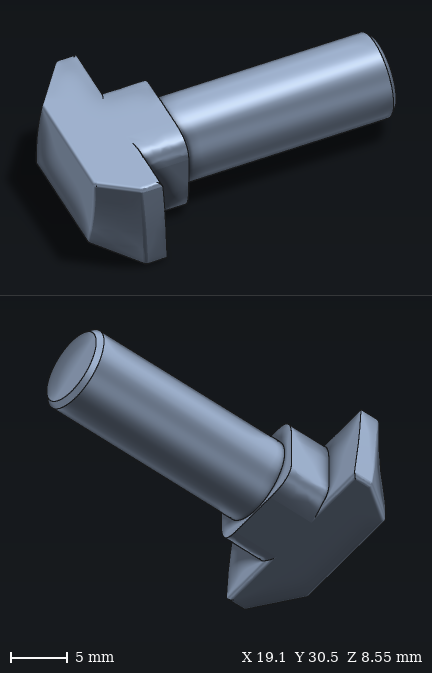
import cadquery as cq

total_length = 30.45
height = 8.55

shank_diameter = 8.0
shank_chamfer = 0.5

neck_width = 10.0
neck_corner_short = 2.0
neck_corner_long = 3.0
neck_end = 9.7
neck_overlap = 2.45

head_depth = 5.55
shoulder_depth = 3.5
edge_radius = 0.45
wide_half, middle_half, narrow_half = 9.55, 9.23, 8.55
front_narrow, front_middle, front_wide = 4.75, 5.85, 6.15


def head_section(z, left_half, left_front, right_half, right_front):
    """Closed six-sided outline of the head at height z."""
    points = [
        (-left_half, head_depth),
        (-left_half, shoulder_depth),
        (-left_front, 0),
        (right_front, 0),
        (right_half, shoulder_depth),
        (right_half, head_depth),
    ]
    return cq.Wire.makePolygon([cq.Vector(x, y, z) for x, y in points], close=True)


def make_head():
    """Loft through three outlines, then round the rims and the front corners."""
    sections = [
        head_section(-height / 2, narrow_half, front_wide, wide_half, front_narrow),
        head_section(0, middle_half, front_middle, middle_half, front_middle),
        head_section(height / 2, wide_half, front_narrow, narrow_half, front_wide),
    ]
    head = cq.Workplane(obj=cq.Solid.makeLoft(sections))
    front_half = cq.selectors.BoxSelector(
        (-wide_half, -0.3, -0.3), (wide_half, (shoulder_depth + head_depth) / 2, 0.3)
    )
    front_corners = head.edges(front_half)
    return front_corners.add(head.faces("<Z or >Z").edges()).fillet(edge_radius)


def make_neck():
    """Bar with uneven rounded corners running from inside the head to the shank."""
    start = head_depth - neck_overlap
    side = neck_width / 2
    top = height / 2
    side_upper = top - neck_corner_long
    side_lower = top - neck_corner_short
    top_outer = side - neck_corner_short
    top_inner = side - neck_corner_long
    outline = cq.Workplane("XZ", origin=(0, start, 0)).moveTo(-side, side_upper)
    for sign in (1, -1):
        outline = (
            outline.spline(
                [(-sign * top_outer, sign * top)],
                tangents=[(0, sign), (sign, 0)],
                includeCurrent=True,
            )
            .lineTo(sign * top_inner, sign * top)
            .spline(
                [(sign * side, sign * side_lower)],
                tangents=[(sign, 0), (0, -sign)],
                includeCurrent=True,
            )
            .lineTo(sign * side, -sign * side_upper)
        )
    return outline.close().extrude(start - neck_end)


def make_shank():
    """Round shank with a chamfered tip, rooted inside the neck."""
    return (
        cq.Workplane("XZ", origin=(0, head_depth, 0))
        .circle(shank_diameter / 2)
        .extrude(head_depth - total_length)
        .faces(">Y")
        .chamfer(shank_chamfer)
    )


result = make_head().union(make_neck()).union(make_shank())